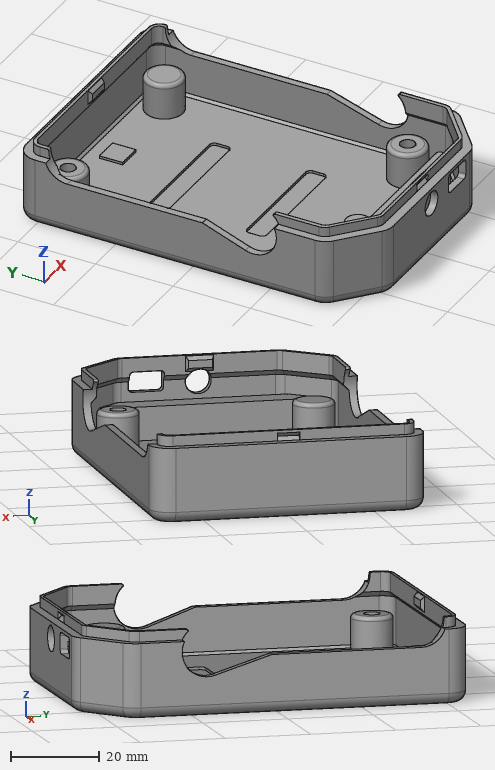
import cadquery as cq
import math

length = 90.0
width = 64.0
height = 19.9
base_height = 17.5
bottom_round = 2.6
corner_radius = 5.0
nose_run = 12.1
nose_rise = 10.35

wall = 1.9
floor_thickness = 2.5
floor_chamfer = 0.6
lip_side_inset = 2.1
lip_end_inset = 2.3
rim_inset = 3.15
rim_bottom = 15.4
ledge_height = rim_inset - wall

post_diameter = 9.6
post_height = 9.0
post_round = 1.0
post_x = 22.9
rear_post_y = 36.4
front_post_y = -26.5
screw_hole = 3.7
pad_height = 0.6
square_pad_x = 6.3
square_pad_y = 6.0
square_pad_center_y = 36.0
round_pad_diameter = 6.0
round_pad_y = -26.0

slot_depth = 0.6
slot_length = 30.3
slot_width = 5.1
slot_radius = 1.3
slot_centers_y = (17.3, -7.6)

nose_block_height = 7.8
nose_block_half_width = 25.1
nose_block_front_half_width = 19.9
nose_block_rear_y = -33.1
nose_block_front_y = -39.1
nose_block_radius = 1.0

led_diameter = 6.0
led_z = 13.6
port_x = 12.2
port_z = 14.1
port_width = 8.2
port_height = 4.95
port_radius = 0.9

groove_width = 5.2
groove_depth = 0.9
bump_width = 6.5
bump_depth = 0.9
bump_end_taper = 0.45
bump_bottom = 16.1
bump_top = 19.7

sill_z = 13.5
scoop_radius = 5.9
scoop_z = 15.0
rim_tip_radius = 0.45
rear_arc_radius = height - rim_tip_radius - sill_z
left_sill_rear_y = 31.6
left_sill_front_y = -3.2
left_scoop_y = -16.4
right_sill_rear_y = 33.4
right_sill_front_y = -1.7
right_scoop_y = -16.7
cut_clearance = 0.9


def outline(side_inset, end_inset, z):
    """Rounded case outline with a chamfered nose, moved inward by the insets."""
    half_x = width / 2 - side_inset
    half_y = length / 2 - end_inset
    nose_inset = (side_inset + end_inset) / 2
    nose_edge = math.hypot(nose_run, nose_rise)
    nose_line = (
        nose_rise * width / 2
        + nose_run * (length / 2 - nose_rise)
        - nose_inset * nose_edge
    )
    side_corner_y = (nose_rise * half_x - nose_line) / nose_run
    front_corner_x = (nose_line - nose_run * half_y) / nose_rise
    right_side = [(front_corner_x, -half_y), (half_x, side_corner_y), (half_x, half_y)]
    left_side = [(-x, y) for x, y in reversed(right_side)]
    points = right_side + left_side
    sketch = cq.Sketch().polygon(points + points[:1]).vertices().fillet(corner_radius - nose_inset)
    return cq.Workplane("XY", origin=(0, 0, z)).placeSketch(sketch)


def make_shell():
    """Tray with a thin upright rim and a sloped ledge below it on the inside."""
    base = outline(0, 0, 0).extrude(base_height).faces("<Z").edges().fillet(bottom_round)
    rim = outline(lip_side_inset, lip_end_inset, 0).extrude(height)
    rim = rim.intersect(
        cq.Workplane("XY", origin=(0, 0, base_height)).rect(width, length).extrude(height)
    )
    cavity_top = rim_bottom - ledge_height
    cavity = outline(wall, wall, floor_thickness).extrude(rim_bottom - floor_thickness)
    cavity = cavity.faces("<Z").edges().chamfer(floor_chamfer)
    cavity = cavity.faces(">Z").edges().chamfer(ledge_height)
    mouth = outline(rim_inset, rim_inset, cavity_top).extrude(height - cavity_top)
    return base.union(rim).cut(cavity).cut(mouth)


def side_opening(sill_rear_y, sill_front_y, scoop_y):
    """Block with the profile of a side opening, reaching from X = 0 out past the right side."""
    rear_y = sill_rear_y + rear_arc_radius
    top = height + cut_clearance
    diagonal = math.sqrt(0.5)

    dy = scoop_y - sill_front_y
    dz = scoop_z - sill_z
    distance = math.hypot(dy, dz)
    tangent_angle = math.atan2(-dz, -dy) - math.acos(scoop_radius / distance)
    ramp_end = (
        scoop_y + scoop_radius * math.cos(tangent_angle),
        scoop_z + scoop_radius * math.sin(tangent_angle),
    )
    tip_z = height - rim_tip_radius
    tip_y = scoop_y - math.sqrt(scoop_radius**2 - (tip_z - scoop_z) ** 2)
    return (
        cq.Workplane("YZ")
        .moveTo(rear_y + rim_tip_radius, top)
        .lineTo(rear_y + rim_tip_radius, height)
        .radiusArc((rear_y, tip_z), -rim_tip_radius)
        .threePointArc(
            (
                sill_rear_y + rear_arc_radius * diagonal,
                tip_z - rear_arc_radius * diagonal,
            ),
            (sill_rear_y, sill_z),
        )
        .lineTo(sill_front_y, sill_z)
        .lineTo(*ramp_end)
        .threePointArc((scoop_y - scoop_radius, scoop_z), (tip_y, tip_z))
        .radiusArc((tip_y - rim_tip_radius, height), -rim_tip_radius)
        .lineTo(tip_y - rim_tip_radius, top)
        .close()
        .extrude(width / 2 + cut_clearance)
    )


def rim_snap(body):
    """Inner bump and outer V groove on the front rim and the rear rim."""
    inner_y = length / 2 - rim_inset
    bump = (
        cq.Workplane("XZ", origin=(0, inner_y, (bump_bottom + bump_top) / 2))
        .rect(bump_width, bump_top - bump_bottom)
        .workplane(offset=bump_depth)
        .rect(bump_width - 2 * bump_end_taper, bump_top - bump_bottom - 2 * bump_depth)
        .loft()
    )
    outer_y = length / 2 - lip_end_inset
    groove = (
        cq.Workplane("YZ")
        .polyline(
            [
                (outer_y, base_height),
                (outer_y - groove_depth, base_height + groove_depth),
                (outer_y, base_height + 2 * groove_depth),
            ]
        )
        .close()
        .extrude(groove_width / 2, both=True)
    )
    for bump_side, groove_side in (
        (bump, groove),
        (bump.mirror("XZ"), groove.mirror("XZ")),
    ):
        body = body.union(bump_side).cut(groove_side)
    return body


def floor_plane(z=floor_thickness):
    return cq.Workplane("XY", origin=(0, 0, z))


def add_floor_features(body):
    """Posts, pads and nose block on the floor, slots in it, screw holes through two posts."""
    posts = (
        floor_plane()
        .pushPoints([(x, y) for x in (-post_x, post_x) for y in (front_post_y, rear_post_y)])
        .circle(post_diameter / 2)
        .extrude(post_height)
        .faces(">Z")
        .edges()
        .fillet(post_round)
    )
    square_pad = (
        floor_plane().center(0, square_pad_center_y).rect(square_pad_x, square_pad_y).extrude(pad_height)
    )
    round_pad = floor_plane().center(0, round_pad_y).circle(round_pad_diameter / 2).extrude(pad_height)
    body = body.union(posts).union(square_pad).union(round_pad)

    slots = (
        floor_plane()
        .pushPoints([(0, y) for y in slot_centers_y])
        .rect(slot_length, slot_width)
        .extrude(-slot_depth)
        .edges("|Z")
        .fillet(slot_radius)
    )
    nose_slope = nose_rise / nose_run
    nose_block_side_y = nose_block_front_y + nose_slope * (
        nose_block_half_width - nose_block_front_half_width
    )
    nose_block = (
        floor_plane()
        .polyline(
            [
                (-nose_block_front_half_width, nose_block_front_y),
                (nose_block_front_half_width, nose_block_front_y),
                (nose_block_half_width, nose_block_side_y),
                (nose_block_half_width, nose_block_rear_y),
                (-nose_block_half_width, nose_block_rear_y),
                (-nose_block_half_width, nose_block_side_y),
            ]
        )
        .close()
        .extrude(nose_block_height)
        .edges("|Z and >Y")
        .fillet(nose_block_radius)
    )
    screw_holes = (
        floor_plane(0)
        .pushPoints([(-post_x, rear_post_y), (post_x, front_post_y)])
        .circle(screw_hole / 2)
        .extrude(height)
    )
    return body.union(nose_block).cut(slots).cut(screw_holes)


def cut_front_openings(body):
    """Round LED window and rounded port, cut through the front wall only."""
    front = cq.Workplane("XZ", origin=(0, -length / 2, 0))
    cut_depth = -2 * rim_inset
    led = front.center(0, led_z).circle(led_diameter / 2).extrude(cut_depth)
    port = (
        front.center(port_x, port_z)
        .rect(port_width, port_height)
        .extrude(cut_depth)
        .edges("|Y")
        .fillet(port_radius)
    )
    return body.cut(led).cut(port)


shell = make_shell()
right_opening = side_opening(right_sill_rear_y, right_sill_front_y, right_scoop_y)
left_opening = side_opening(left_sill_rear_y, left_sill_front_y, left_scoop_y).mirror("YZ")
shell = shell.cut(right_opening).cut(left_opening)
shell = rim_snap(shell)
shell = cut_front_openings(shell)
result = add_floor_features(shell)